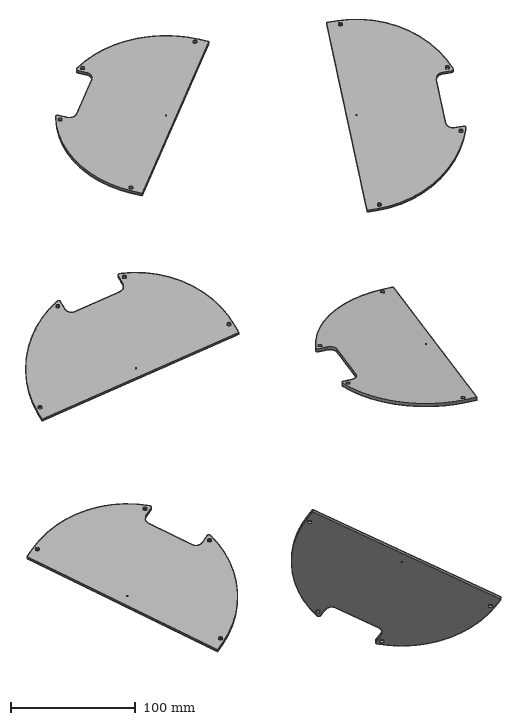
import cadquery as cq
import math

disc_radius = 88.7
strip_width = 8.0
thickness = 3.0

notch_half_width = 26.0
notch_floor_x = -69.0
notch_floor_radius = 6.0
notch_tip_radius = 1.6

mount_hole_diameter = 3.2
mount_circle_radius = 85.2
rim_hole_x = -2.7
tip_hole_y = 30.0
center_hole_diameter = 1.0


def make_blank():
    """Half disc extended to the straight +X edge."""
    return (
        cq.Workplane("XY")
        .moveTo(strip_width, -disc_radius)
        .lineTo(strip_width, disc_radius)
        .lineTo(0, disc_radius)
        .threePointArc((-disc_radius, 0), (0, -disc_radius))
        .close()
        .extrude(thickness)
    )


def cut_notch(plate):
    """Cut the notch, then round its floor corners and its outer tips."""
    notch_length = disc_radius + notch_floor_x
    notch = (
        cq.Workplane("XY")
        .center(notch_floor_x - notch_length / 2, 0)
        .rect(notch_length, 2 * notch_half_width)
        .extrude(thickness)
    )
    tip_x = -math.sqrt(disc_radius**2 - notch_half_width**2)
    plate = plate.cut(notch)
    for corner_x, radius in ((notch_floor_x, notch_floor_radius), (tip_x, notch_tip_radius)):
        for corner_y in (-notch_half_width, notch_half_width):
            corner = cq.selectors.NearestToPointSelector((corner_x, corner_y, thickness / 2))
            plate = plate.edges("|Z").edges(corner).fillet(radius)
    return plate


def make_holes():
    """Cylinders for the four mounting holes and the small hole at the disc centre."""
    rim_hole_y = math.sqrt(mount_circle_radius**2 - rim_hole_x**2)
    tip_hole_x = -math.sqrt(mount_circle_radius**2 - tip_hole_y**2)
    mount_points = [
        (x, side * y)
        for x, y in ((rim_hole_x, rim_hole_y), (tip_hole_x, tip_hole_y))
        for side in (-1, 1)
    ]
    mount_holes = (
        cq.Workplane("XY")
        .pushPoints(mount_points)
        .circle(mount_hole_diameter / 2)
        .extrude(thickness)
    )
    center_hole = cq.Workplane("XY").circle(center_hole_diameter / 2).extrude(thickness)
    return mount_holes.union(center_hole)


result = cut_notch(make_blank()).cut(make_holes())